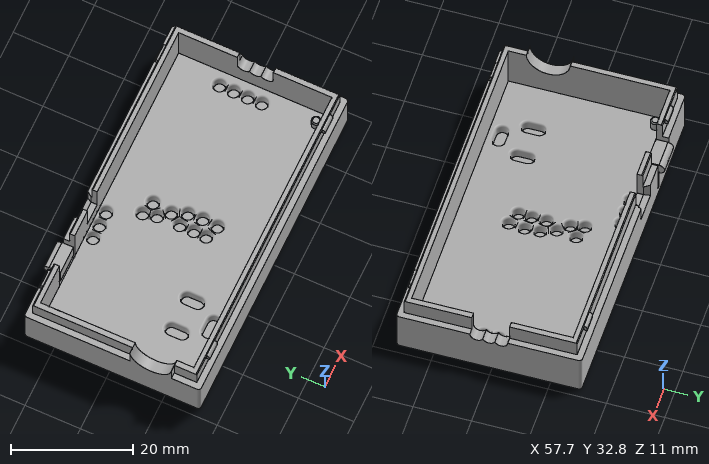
import cadquery as cq
import math

length = 57.7
width = 31.8
height = 11.0
step_z = 8.0
floor_z = 3.0
wall = 2.1
step_inset = 1.1
edge_radius = 0.6
lip_chamfer = 0.2

half_x = length / 2
half_y = width / 2
inner_y = half_y - wall
lip_x = half_x - step_inset
lip_y = half_y - step_inset
overcut = 0.6

snap_x = 22.4
snap_length = 3.05
snap_reach = 0.5
snap_radius = 0.65
snap_bottom = 9.85
snap_tip = 10.25

jack_y = -7.0
jack_radius = 3.75
jack_axis_z = 11.2

wire_radius = 1.15
wire_pitch = 2.1
wire_count = 3

button_x = -16.5
button_width = 4.95
button_axis_z = 6.5
button_radius = 1.0
tab_gap = 0.5
tab_top = 7.55
tab_taper_z = 4.25
tab_taper = 0.9
tab_root_z = 2.0

plug_x = -6.7
plug_width = 3.8
plug_z = 6.0
flare = 0.7
flare_depth = 1.0

recess_radius = 1.05
recess_depth = 1.8
rim_radius = 0.49
pin_pitch = 2.55
slot_straight = 1.95

header_start = (plug_x - pin_pitch, 12.5)
header_count = 3
side_start = (24.35, 5.3)
side_count = 4
cluster_pins = [
    (-1.8, 7.05), (0.7, 6.3), (-1.25, 4.7), (0.3, 2.8), (-1.15, 0.65),
    (1.25, 0.3), (-1.15, -1.9), (1.45, -2.3), (-1.2, -4.15), (1.2, -5.1),
]
jack_slot_spread = 6.05
jack_slot_x = -15.65
jack_cross_slot_y = -11.7

peg_points = [(-24.85, 11.95), (24.6, -12.0)]
peg_radius = 0.8
peg_height = 1.75
peg_chamfer = 0.25


def block(x_range, y_range, z_range):
    """Axis-aligned box spanning the given ranges."""
    size = [high - low for low, high in (x_range, y_range, z_range)]
    corner = (x_range[0], y_range[0], z_range[0])
    return cq.Workplane("XY").box(*size, centered=False).translate(corner)


def make_shell():
    """Open case with a rounded body, a set-back lip and a flat floor."""
    body = cq.Workplane("XY").box(length, width, step_z, centered=(True, True, False))
    body = body.edges("|Z").fillet(edge_radius).faces("<Z").edges().fillet(edge_radius)
    lip = (
        cq.Workplane("XY").workplane(offset=floor_z)
        .rect(2 * lip_x, 2 * lip_y).extrude(height - floor_z)
        .faces(">Z").edges("|X").chamfer(lip_chamfer)
    )
    cavity = (
        cq.Workplane("XY").workplane(offset=floor_z)
        .rect(length - 2 * wall, 2 * inner_y).extrude(height)
    )
    jack_pad = block(
        (-half_x, -half_x + wall),
        (jack_y - jack_radius, jack_y + jack_radius),
        (floor_z, height),
    )
    return body.union(lip).cut(cavity).union(jack_pad)


def make_snap(x, side):
    """Rounded bead on the lip; side is +1 for the +Y wall and -1 for the -Y wall."""
    root = lip_y - snap_radius / 2
    tip = lip_y + snap_reach
    axis_y = tip - snap_radius
    diagonal = snap_radius * math.sqrt(0.5)
    bead = (
        cq.Workplane("YZ")
        .moveTo(root, snap_bottom).lineTo(tip, snap_bottom).lineTo(tip, snap_tip)
        .threePointArc((axis_y + diagonal, snap_tip + diagonal), (axis_y, snap_tip + snap_radius))
        .lineTo(root, snap_tip + snap_radius).close()
        .extrude(snap_length / 2, both=True)
    )
    if side < 0:
        bead = bead.mirror("XZ")
    return bead.translate((x, 0, 0))


def make_jack_cut():
    """Round opening through the -X wall."""
    return (
        cq.Workplane("YZ").workplane(offset=-half_x - overcut)
        .center(jack_y, jack_axis_z).circle(jack_radius).extrude(wall + 2 * overcut)
    )


def make_wire_cut():
    """Row of round grooves in the +X shoulder, open upward through the lip."""
    x_range = (half_x - wall - overcut, half_x + overcut)
    reach = (wire_count - 1) / 2 * wire_pitch + wire_radius
    cutter = block(x_range, (-reach, reach), (step_z, height + overcut))
    for i in range(wire_count):
        groove = (
            cq.Workplane("YZ").workplane(offset=x_range[0])
            .center((i - (wire_count - 1) / 2) * wire_pitch, step_z)
            .circle(wire_radius).extrude(x_range[1] - x_range[0])
        )
        cutter = cutter.union(groove)
    return cutter


def make_button_window():
    """Gap in the +Y wall that frees the button tab."""
    reach = button_width / 2 + tab_gap
    return block(
        (button_x - reach, button_x + reach),
        (inner_y, half_y + overcut),
        (tab_root_z, height + overcut),
    )


def make_button_tab():
    """Wall tab thinned towards its root, with a half-round button outside."""
    tab = (
        cq.Workplane("YZ")
        .moveTo(inner_y + tab_taper, tab_root_z).lineTo(inner_y, tab_taper_z)
        .lineTo(inner_y, tab_top).lineTo(half_y, tab_top).lineTo(half_y, tab_root_z).close()
        .extrude(button_width / 2, both=True)
    )
    button = (
        cq.Workplane("YZ").center(half_y, button_axis_z).circle(button_radius)
        .extrude(button_width / 2, both=True)
    )
    return tab.union(button).translate((button_x, 0, 0))


def make_plug_cut():
    """Notch through the +Y wall, flared on its sides and bottom at the outer face."""
    half = plug_width / 2
    top = height + overcut
    notch = block(
        (plug_x - half, plug_x + half), (inner_y - overcut, half_y), (plug_z, top)
    )
    mid_z = (plug_z + top) / 2
    tall = top - plug_z
    mouth = (
        cq.Workplane("XZ", origin=(plug_x, half_y, mid_z))
        .rect(plug_width + 2 * flare, tall + 2 * flare)
        .workplane(offset=flare_depth).rect(plug_width, tall)
        .loft()
    )
    return notch.union(mouth)


def make_recess(x, y, straight=0.0, angle=0.0):
    """Cutter for a round recess with a rounded rim, or an obround one when straight is given."""
    stock_size = straight + 4 * (recess_radius + rim_radius)
    stock = cq.Workplane("XY").rect(stock_size, stock_size).extrude(-recess_depth)
    bore = cq.Workplane("XY")
    if straight:
        bore = bore.slot2D(straight + 2 * recess_radius, 2 * recess_radius)
    else:
        bore = bore.circle(recess_radius)
    drilled = stock.cut(bore.extrude(-recess_depth))
    rim = drilled.faces(">Z").val().innerWires()[0]
    drilled = drilled.newObject(rim.Edges()).fillet(rim_radius)
    return stock.cut(drilled).rotate((0, 0, 0), (0, 0, 1), angle).translate((x, y, floor_z))


def make_peg(x, y):
    """Chamfered locating peg standing on the floor."""
    peg = cq.Workplane("XY").circle(peg_radius).extrude(peg_height)
    return peg.faces(">Z").chamfer(peg_chamfer).translate((x, y, floor_z))


header_pins = [(header_start[0] + i * pin_pitch, header_start[1]) for i in range(header_count)]
side_pins = [(side_start[0], side_start[1] - i * pin_pitch) for i in range(side_count)]

result = make_shell()
for side in (1, -1):
    for x in (-snap_x, snap_x):
        result = result.union(make_snap(x, side))

result = result.cut(make_jack_cut()).cut(make_wire_cut()).cut(make_plug_cut())
result = result.cut(make_button_window()).union(make_button_tab())

for x, y in header_pins + side_pins + cluster_pins:
    result = result.cut(make_recess(x, y))
for offset in (-jack_slot_spread / 2, jack_slot_spread / 2):
    result = result.cut(make_recess(jack_slot_x + offset, jack_y, slot_straight, 90))
result = result.cut(make_recess(jack_slot_x, jack_cross_slot_y, slot_straight))

for x, y in peg_points:
    result = result.union(make_peg(x, y))